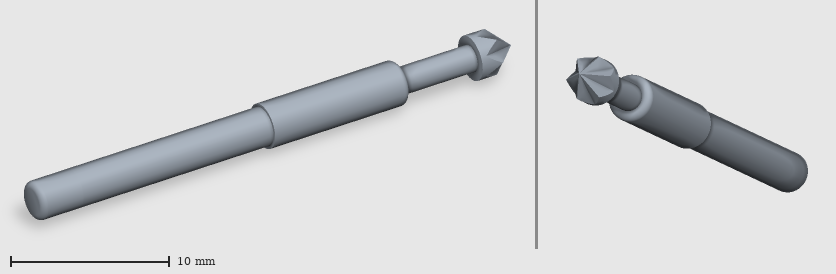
import cadquery as cq
import math

TOTAL_LENGTH = 35.3

BARREL_RADIUS = 1.3
BARREL_LENGTH = 17.0
CAP_LENGTH = 3.0
CAP_EDGE_RADIUS = 0.4

COLLAR_RADIUS = 1.5
COLLAR_LENGTH = 10.0
COLLAR_EDGE_RADIUS = 0.4

SHAFT_RADIUS = 0.9
HEAD_RADIUS = 1.5
HEAD_LENGTH = 3.0
RIDGE_COUNT = 6
RIDGE_ANGLE = 45.0
VALLEY_ANGLE = 30.0

COLLAR_REAR = BARREL_LENGTH
COLLAR_FRONT = COLLAR_REAR + COLLAR_LENGTH
HEAD_REAR = TOTAL_LENGTH - HEAD_LENGTH


def arc_middle(center_x, center_y, radius, angle):
    """Point on a rounded edge at the given angle, in degrees from +X."""
    turn = math.radians(angle)
    return (center_x + radius * math.cos(turn), center_y + radius * math.sin(turn))


def turned_body():
    """Barrel, collar and shaft revolved about Y, with rounded cap and collar edges."""
    cap_flat_radius = BARREL_RADIUS - CAP_EDGE_RADIUS
    collar_flat_radius = COLLAR_RADIUS - COLLAR_EDGE_RADIUS
    collar_edge_start = COLLAR_FRONT - COLLAR_EDGE_RADIUS
    cap_arc = arc_middle(cap_flat_radius, CAP_EDGE_RADIUS, CAP_EDGE_RADIUS, -45)
    collar_arc = arc_middle(collar_flat_radius, collar_edge_start, COLLAR_EDGE_RADIUS, 45)
    return (
        cq.Workplane("XY")
        .lineTo(cap_flat_radius, 0)
        .threePointArc(cap_arc, (BARREL_RADIUS, CAP_EDGE_RADIUS))
        .lineTo(BARREL_RADIUS, CAP_LENGTH)
        .lineTo(BARREL_RADIUS, COLLAR_REAR)
        .lineTo(COLLAR_RADIUS, COLLAR_REAR)
        .lineTo(COLLAR_RADIUS, collar_edge_start)
        .threePointArc(collar_arc, (collar_flat_radius, COLLAR_FRONT))
        .lineTo(SHAFT_RADIUS, COLLAR_FRONT)
        .lineTo(SHAFT_RADIUS, HEAD_REAR)
        .lineTo(0, HEAD_REAR)
        .close()
        .revolve(360, (0, 0, 0), (0, 1, 0), clean=False)
    )


def star_point():
    """Pyramid on a star-shaped base, with alternating ridges and valleys meeting at the tip."""
    tip = cq.Vector(0, TOTAL_LENGTH, 0)
    base = []
    for index in range(2 * RIDGE_COUNT):
        slope = RIDGE_ANGLE if index % 2 == 0 else VALLEY_ANGLE
        radius = HEAD_LENGTH * math.tan(math.radians(slope))
        turn = index * math.pi / RIDGE_COUNT
        base.append(cq.Vector(radius * math.cos(turn), HEAD_REAR, radius * math.sin(turn)))
    outlines = [base]
    for index, corner in enumerate(base):
        outlines.append([base[index - 1], corner, tip])
    faces = []
    for outline in outlines:
        faces.append(cq.Face.makeFromWires(cq.Wire.makePolygon(outline, close=True)))
    return cq.Workplane(cq.Solid.makeSolid(cq.Shell.makeShell(faces)))


def head():
    """Round head blank trimmed to the star point."""
    blank = cq.Solid.makeCylinder(
        HEAD_RADIUS, HEAD_LENGTH, cq.Vector(0, HEAD_REAR, 0), cq.Vector(0, 1, 0)
    )
    return star_point().intersect(cq.Workplane(blank))


result = turned_body().union(head(), clean=False)